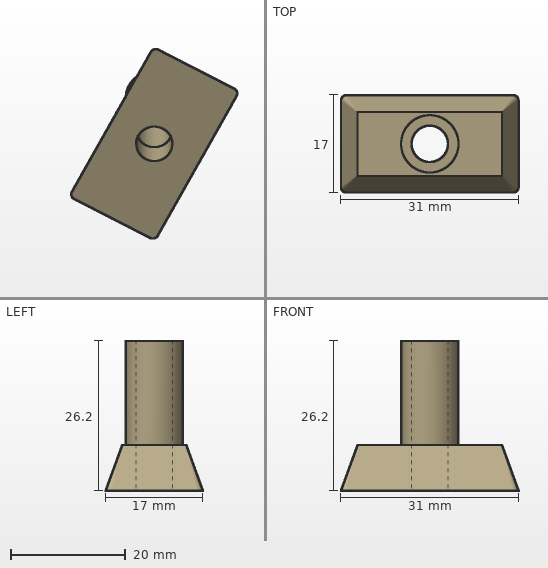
import cadquery as cq
import math

base_length = 31.0
base_width = 17.0
base_height = 8.0
wall_angle = 20.0
bottom_corner_radius = 1.0
top_corner_radius = 0.05
wall_inset = base_height * math.tan(math.radians(wall_angle))
top_length = base_length - 2 * wall_inset
top_width = base_width - 2 * wall_inset

total_height = 26.15
tube_height = total_height - base_height
tube_diameter = 10.0

bore_diameter = 6.3


def rounded_rectangle(length, width, radius):
    return cq.Sketch().rect(length, width).vertices().fillet(radius)


def make_base():
    bottom = rounded_rectangle(base_length, base_width, bottom_corner_radius)
    top = rounded_rectangle(top_length, top_width, top_corner_radius)
    block = (
        cq.Workplane("XY")
        .placeSketch(bottom, top.moved(cq.Location(cq.Vector(0, 0, base_height))))
        .loft(ruled=True)
    )
    bore = cq.Workplane("XY").circle(bore_diameter / 2).extrude(base_height)
    return block.cut(bore)


def make_tube():
    return (
        cq.Workplane("XY", origin=(0, 0, base_height))
        .circle(tube_diameter / 2)
        .circle(bore_diameter / 2)
        .extrude(tube_height)
    )


base = make_base()
tube = make_tube()

result = cq.Compound.makeCompound([base.solids().val(), tube.val()])